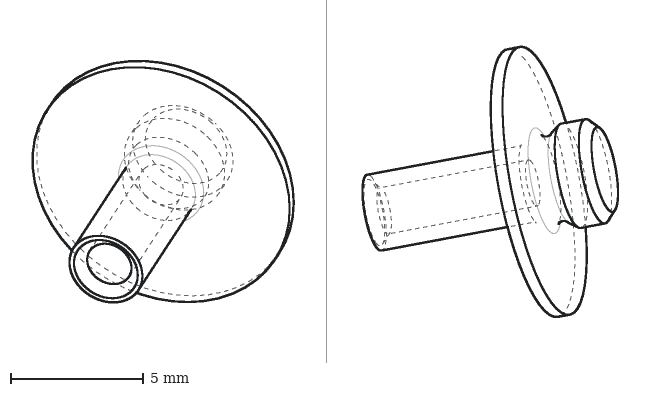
import cadquery as cq
import math

disc_radius = 5.15
disc_thickness = 0.47

stem_radius = 1.46
stem_length = 6.3
stem_fillet = 0.25

bore_radius = 0.89
countersink_radius = 1.28
countersink_depth = countersink_radius - bore_radius
bore_depth = stem_length

head_radius = 2.01
head_length = 2.39
head_chamfer = 0.38
neck_radius = 1.63
groove_radius = 0.4
groove_head_width = 0.31
taper_length = 0.34

stem_end = -stem_length
disc_back = disc_thickness
neck_y = disc_back + groove_radius
taper_start = neck_y + groove_head_width
taper_end = taper_start + taper_length
head_end = disc_back + head_length

groove_center_radius = neck_radius + groove_radius
taper_radius = groove_center_radius - math.sqrt(groove_radius**2 - groove_head_width**2)


def revolve_profile(profile):
    """Revolve a closed (radius, Y) profile about the Y axis."""
    return profile.close().revolve(360, (0, 0, 0), (0, 1, 0))


def make_body():
    """Stem, disc, grooved neck and head as one solid of revolution."""
    profile = (
        cq.Workplane("XY")
        .moveTo(0, stem_end)
        .lineTo(stem_radius, stem_end)
        .lineTo(stem_radius, -stem_fillet)
        .radiusArc((stem_radius + stem_fillet, 0), stem_fillet)
        .lineTo(disc_radius, 0)
        .lineTo(disc_radius, disc_back)
        .lineTo(groove_center_radius, disc_back)
        .radiusArc((neck_radius, neck_y), groove_radius)
        .radiusArc((taper_radius, taper_start), groove_radius)
        .lineTo(head_radius, taper_end)
        .lineTo(head_radius, head_end - head_chamfer)
        .lineTo(head_radius - head_chamfer, head_end)
        .lineTo(0, head_end)
    )
    return revolve_profile(profile)


def make_bore():
    """Blind bore with a conical countersink at the stem mouth."""
    profile = (
        cq.Workplane("XY")
        .moveTo(0, stem_end)
        .lineTo(countersink_radius, stem_end)
        .lineTo(bore_radius, stem_end + countersink_depth)
        .lineTo(bore_radius, stem_end + bore_depth)
        .lineTo(0, stem_end + bore_depth)
    )
    return revolve_profile(profile)


result = make_body().cut(make_bore())